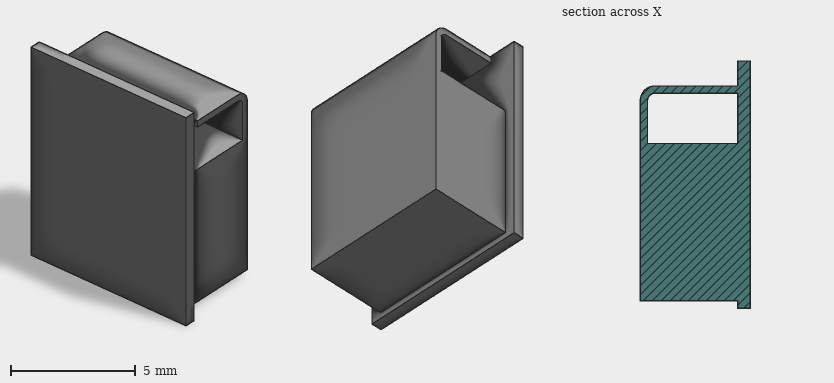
import cadquery as cq

board_width = 8.1
board_height = 9.9
board_thickness = 0.51

corner_pad_size = 1.3
strip_width = 1.0
strip_outer_size = corner_pad_size + strip_width

housing_width = 7.1
housing_depth = 3.9
housing_top_margin = 1.0
housing_bottom_margin = 0.3
window_floor_drop = 3.3

sheet_thickness = 0.3
bend_inner_radius = 0.3
bend_outer_radius = bend_inner_radius + sheet_thickness

notch_width = 2.0
notch_depth = 0.8

board_top = board_height / 2
housing_top = board_top - housing_top_margin
housing_bottom = -board_top + housing_bottom_margin
window_floor = board_top - window_floor_drop
window_ceiling = housing_top - sheet_thickness
housing_back = board_thickness + housing_depth
window_back = housing_back - sheet_thickness
bend_y = housing_back - bend_outer_radius
bend_z = housing_top - bend_outer_radius


def make_board():
    """Plain rectangular plate behind the XZ plane."""
    return cq.Workplane("XZ").rect(board_width, board_height).extrude(-board_thickness)


def make_body():
    """Solid block below the window, with the wall rising along its back."""
    profile = (
        cq.Workplane("YZ")
        .moveTo(board_thickness, housing_bottom)
        .lineTo(housing_back, housing_bottom)
        .lineTo(housing_back, bend_z)
        .lineTo(window_back, bend_z)
        .lineTo(window_back, window_floor)
        .lineTo(board_thickness, window_floor)
        .close()
    )
    return profile.extrude(housing_width / 2, both=True)


def make_bend():
    """Quarter-round bend joining the wall to the roof."""
    profile = (
        cq.Workplane("YZ")
        .moveTo(housing_back, bend_z)
        .radiusArc((bend_y, housing_top), -bend_outer_radius)
        .lineTo(bend_y, window_ceiling)
        .radiusArc((window_back, bend_z), bend_inner_radius)
        .close()
    )
    return profile.extrude(housing_width / 2, both=True)


def make_roof():
    """Flat sheet over the window, narrowed to a tab where it meets the board."""
    notch_back = board_thickness + notch_depth
    half_width = housing_width / 2
    half_tab = half_width - notch_width
    outline = (
        cq.Workplane("XY")
        .workplane(offset=window_ceiling)
        .moveTo(-half_tab, board_thickness)
        .lineTo(half_tab, board_thickness)
        .lineTo(half_tab, notch_back)
        .lineTo(half_width, notch_back)
        .lineTo(half_width, bend_y)
        .lineTo(-half_width, bend_y)
        .lineTo(-half_width, notch_back)
        .lineTo(-half_tab, notch_back)
        .close()
    )
    return outline.extrude(sheet_thickness)


def corner_square(side, size):
    """Square face on the board front in a top corner; side is -1 for left, +1 for right."""
    center_x = side * (board_width - size) / 2
    center_z = board_top - size / 2
    return cq.Face.makePlane(size, size, (center_x, 0, center_z), (0, -1, 0))


def mark_corner_strips(part):
    """Divide the board front along the edges of the corner strips, leaving it flat."""
    squares = []
    for side in (-1, 1):
        for size in (corner_pad_size, strip_outer_size):
            squares.append(corner_square(side, size))
    return cq.Workplane(part.solids().val().split(*squares).Solids()[0])


part = make_board()
for piece in (make_body(), make_bend(), make_roof()):
    part = part.union(piece, clean=False)

result = mark_corner_strips(part)